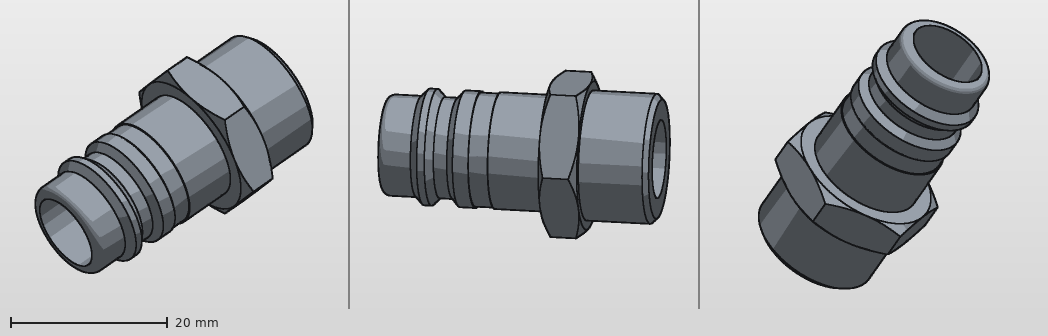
import cadquery as cq
import math

length = 35.5
nose_end = 4.35
collar_start = 5.35
collar_end = 6.35
neck_start = 7.35
neck_end = 9.1
band_start = 10.0
band_end = 12.05
groove_end = 14.55
hex_start = 21.5
hex_end = 26.52

nose_radius = 6.5
nose_fillet = 1.0
body_radius = 7.5
groove_radius = 7.3
rear_radius = 8.35
rear_chamfer = 0.7
bore_radius = 5.0

hex_flats = 19.0
hex_inradius = hex_flats / 2
hex_corner_radius = hex_inradius / math.cos(math.radians(30))
hex_chamfer_angle = 30.0


def revolve_about_y(profile):
    """Turn a closed (radius, Y) outline around the Y axis."""
    return profile.close().revolve(360, (0, 0, 0), (0, 1, 0))


def turned_body():
    """Plug with its collar, neck and groove, and the rear cylinder."""
    fillet_offset = nose_fillet * (1 - math.sqrt(0.5))
    profile = (
        cq.Workplane("XY")
        .moveTo(0, 0)
        .lineTo(nose_radius - nose_fillet, 0)
        .threePointArc((nose_radius - fillet_offset, fillet_offset), (nose_radius, nose_fillet))
        .lineTo(nose_radius, nose_end)
        .lineTo(body_radius, collar_start)
        .lineTo(body_radius, collar_end)
        .lineTo(nose_radius, neck_start)
        .lineTo(nose_radius, neck_end)
        .lineTo(body_radius, band_start)
        .lineTo(body_radius, band_end)
        .lineTo(groove_radius, band_end)
        .lineTo(groove_radius, groove_end)
        .lineTo(body_radius, groove_end)
        .lineTo(body_radius, hex_start)
        .lineTo(rear_radius, hex_start)
        .lineTo(rear_radius, length - rear_chamfer)
        .lineTo(rear_radius - rear_chamfer, length)
        .lineTo(0, length)
    )
    return revolve_about_y(profile)


def hex_nut():
    """Hexagon whose corners are turned off conically on both faces."""
    prism = (
        cq.Workplane("XZ", origin=(0, hex_start, 0))
        .polygon(6, 2 * hex_corner_radius)
        .extrude(-(hex_end - hex_start))
    )
    chamfer_depth = (hex_corner_radius - hex_inradius) * math.tan(math.radians(hex_chamfer_angle))
    envelope = (
        cq.Workplane("XY")
        .moveTo(0, hex_start)
        .lineTo(hex_inradius, hex_start)
        .lineTo(hex_corner_radius, hex_start + chamfer_depth)
        .lineTo(hex_corner_radius, hex_end - chamfer_depth)
        .lineTo(hex_inradius, hex_end)
        .lineTo(0, hex_end)
    )
    return prism.intersect(revolve_about_y(envelope))


def through_bore():
    """Cylinder removed along the full length."""
    return cq.Workplane("XZ").circle(bore_radius).extrude(-length)


result = turned_body().union(hex_nut()).cut(through_bore())